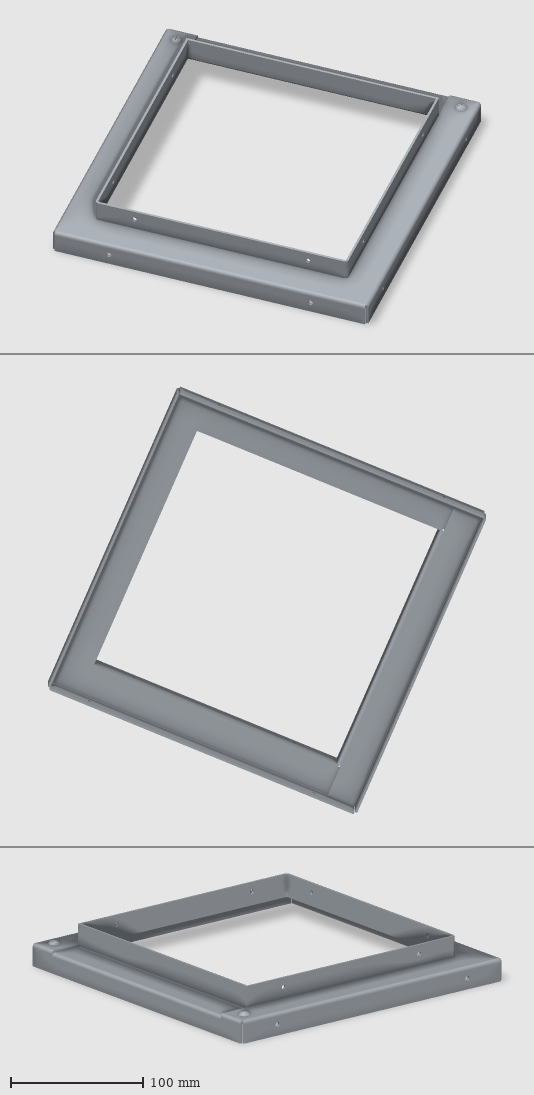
import cadquery as cq
sheet = 1.8
bend_radius = 2.8
inner_bend_radius = bend_radius - sheet

side = 254.0
edge = side / 2
frame_height = 18.0
plate_bottom = frame_height - sheet
corner_notch = 2.0

collar_side = 203.2
collar_edge = collar_side / 2
opening_edge = collar_edge - sheet
total_height = 34.5

bar_top = plate_bottom
bar_bottom = bar_top - sheet
wall_bend_end = opening_edge + bend_radius
tab_edge = edge - bend_radius

skirt_hole_z = 8.6
front_skirt_hole_diameter = 4.0
front_skirt_hole_spacing = 162.3
side_skirt_hole_diameter = 3.8
side_skirt_hole_spacing = 184.5
collar_hole_z = 27.0
collar_hole_diameter = 3.5
front_collar_hole_spacing = 139.7
side_collar_hole_spacing = 131.8

screw_offset = 114.5
head_diameter = 9.7
head_height = 2.8
shank_diameter = 4.0
shank_length = 2 * sheet
slot_length = 5.0
slot_width = 0.5
slot_depth = 1.3
left_slot_angle = 0.0
right_slot_angle = 25.0


def block(x_min, x_max, y_min, y_max, z_min, z_max):
    """Box between two opposite corners."""
    size = (x_max - x_min, y_max - y_min, z_max - z_min)
    return cq.Workplane("XY").box(*size, centered=False).translate((x_min, y_min, z_min))


def hole_pair(plane, diameter, spacing, z, both):
    """Two cylinders centred on the plane, on one side of it or on both."""
    return (
        cq.Workplane(plane)
        .pushPoints([(-spacing / 2, z), (spacing / 2, z)])
        .circle(diameter / 2)
        .extrude(side, both=both)
    )


def front_holes(diameter, spacing, z):
    """Hole pair along Y through the front only."""
    return hole_pair("XZ", diameter, spacing, z, both=False)


def side_holes(diameter, spacing, z):
    """Hole pair along X through both sides."""
    return hole_pair("YZ", diameter, spacing, z, both=True)


def screw_shanks():
    """Clearance for both screw shanks."""
    centres = [(-screw_offset, screw_offset), (screw_offset, screw_offset)]
    return cq.Workplane("XY").pushPoints(centres).circle(shank_diameter / 2).extrude(frame_height)


def bent_skirt(top, half_length):
    """Skirt along the rear edge, with the bend that leads up to a plate at the given top."""
    bend_start = edge - bend_radius
    return (
        cq.Workplane("YZ")
        .moveTo(bend_start, top - sheet)
        .lineTo(bend_start, top)
        .radiusArc((edge, top - bend_radius), bend_radius)
        .lineTo(edge, 0)
        .lineTo(edge - sheet, 0)
        .lineTo(edge - sheet, top - bend_radius)
        .radiusArc((bend_start, top - sheet), -inner_bend_radius)
        .close()
        .extrude(half_length, both=True)
    )


def make_frame():
    """Plate with four skirts, cut open for the collar and the rear bar."""
    plate_edge = edge - bend_radius
    frame = block(-plate_edge, plate_edge, -plate_edge, plate_edge, plate_bottom, frame_height)
    skirt = bent_skirt(frame_height, edge - corner_notch)
    for quarter in range(4):
        frame = frame.union(skirt.rotate((0, 0, 0), (0, 0, 1), 90 * quarter))
    opening = (
        block(-collar_edge, collar_edge, -collar_edge, edge, 0, frame_height)
        .edges("|Z and <Y")
        .fillet(bend_radius)
    )
    return (
        frame.cut(opening)
        .cut(screw_shanks())
        .cut(front_holes(front_skirt_hole_diameter, front_skirt_hole_spacing, skirt_hole_z))
        .cut(side_holes(side_skirt_hole_diameter, side_skirt_hole_spacing, skirt_hole_z))
    )


def make_collar():
    """U-shaped upright strip with two bent front corners."""
    outside = (
        block(-collar_edge, collar_edge, -collar_edge, collar_edge, plate_bottom, total_height)
        .edges("|Z and <Y")
        .fillet(bend_radius)
    )
    inside = (
        block(-opening_edge, opening_edge, -opening_edge, edge, 0, total_height)
        .edges("|Z and <Y")
        .fillet(inner_bend_radius)
    )
    return (
        outside.cut(inside)
        .cut(front_holes(collar_hole_diameter, front_collar_hole_spacing, collar_hole_z))
        .cut(side_holes(collar_hole_diameter, side_collar_hole_spacing, collar_hole_z))
    )


def make_rear_bar():
    """Flange with a skirt bent down, a wall bent up and a tab under each rear corner."""
    skirt = bent_skirt(bar_top, collar_edge)
    flange = block(-collar_edge, collar_edge, wall_bend_end, edge - bend_radius, bar_bottom, bar_top)
    wall_bend_top = bar_bottom + bend_radius
    wall = (
        cq.Workplane("YZ")
        .moveTo(wall_bend_end, bar_bottom)
        .radiusArc((opening_edge, wall_bend_top), bend_radius)
        .lineTo(opening_edge, total_height)
        .lineTo(collar_edge, total_height)
        .lineTo(collar_edge, wall_bend_top)
        .radiusArc((wall_bend_end, bar_top), -inner_bend_radius)
        .close()
        .extrude(opening_edge, both=True)
    )
    tabs = block(-tab_edge, tab_edge, wall_bend_end, tab_edge, bar_bottom, bar_top)
    return skirt.union(flange).union(wall).union(tabs).cut(screw_shanks())


def make_screw(x, slot_angle):
    """Domed cross-head screw seated on the plate."""
    head_radius = head_diameter / 2
    dome_radius = (head_radius**2 + head_height**2) / (2 * head_height)
    head = (
        cq.Workplane("XZ")
        .lineTo(head_radius, 0)
        .radiusArc((0, head_height), -dome_radius)
        .close()
        .revolve(360, (0, 0), (0, 1))
    )
    shank = cq.Workplane("XY").circle(shank_diameter / 2).extrude(-shank_length)
    slot = cq.Workplane("XY").box(slot_length, slot_width, 2 * slot_depth)
    cross = slot.union(slot.rotate((0, 0, 0), (0, 0, 1), 90))
    cross = cross.rotate((0, 0, 0), (0, 0, 1), slot_angle).translate((0, 0, head_height))
    return head.cut(cross).union(shank).translate((x, screw_offset, frame_height))


frame = make_frame()
collar = make_collar()
rear_bar = make_rear_bar()
screw_layout = [(-screw_offset, left_slot_angle), (screw_offset, right_slot_angle)]
screws = [make_screw(x, slot_angle) for x, slot_angle in screw_layout]

result = cq.Compound.makeCompound(
    [frame.val(), collar.val(), rear_bar.val()] + [screw.val() for screw in screws]
)